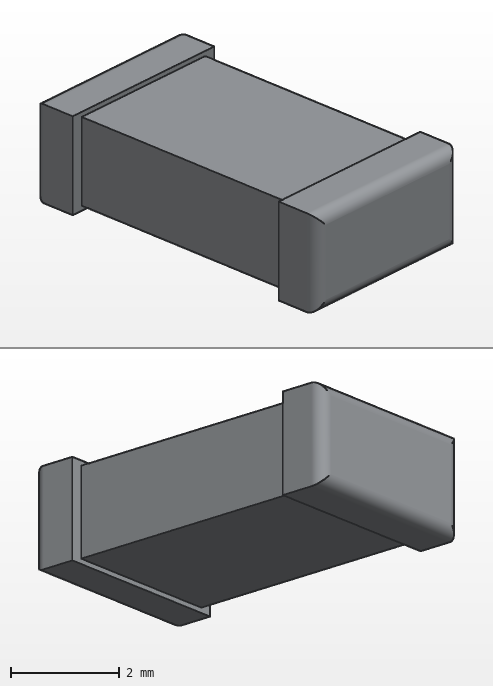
import cadquery as cq

length = 7.08
width = 3.88
height = 2.05

cap_length = 0.955
cap_edge_radius = 0.25
side_step = 0.25
top_step = 0.105

body_width = width - 2 * side_step
body_height = height - 2 * top_step
body_length = length - 2 * cap_length


def end_cap(side):
    """Cap at the -X (side=-1) or +X (side=1) end, with its outer face edges rounded."""
    outer_face = ">X" if side > 0 else "<X"
    cap_center = side * (length - cap_length) / 2
    cap = cq.Workplane("XY").box(cap_length, width, height)
    cap = cap.faces(outer_face).edges().fillet(cap_edge_radius)
    return cap.translate((cap_center, 0, 0))


result = cq.Workplane("XY").box(body_length, body_width, body_height)
for side in (-1, 1):
    result = result.union(end_cap(side))